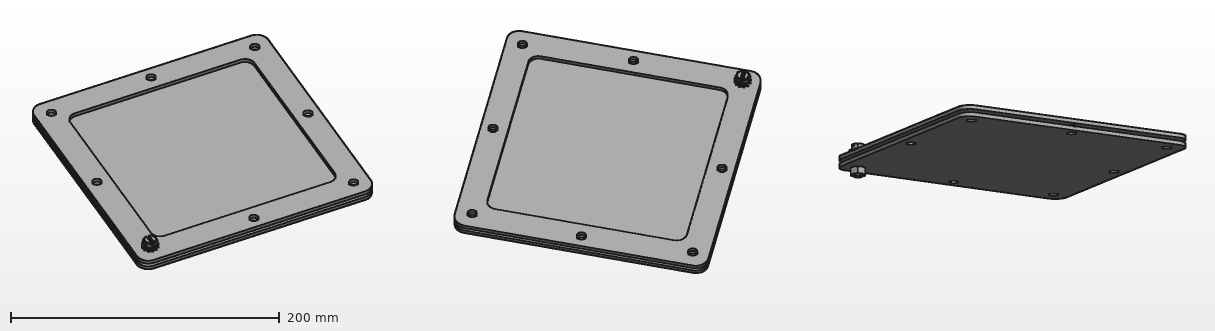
import cadquery as cq
import math

plate_side = 193.7
plate_thickness = 3.1
plate_corner_radius = 9.5
plate_gap = 2.5
window_side = 152.2
window_corner_radius = 7.7
hole_diameter = 7.2
corner_hole_spacing = 168.3
middle_hole_spacing = 174.7

shank_diameter = 6.4
screw_tail = 1.4
head_across_flats = 9.5
head_height = 4.5
slot_width = 2.3
slot_wall_depth = 1.5
slot_floor_drop = 0.8

nut_across_flats = 10.8
nut_height = 5.6

bevel_angle = 30.0
crown_share = 0.88

washer_bore = 6.5
washer_outer_diameter = 12.8
washer_ring_diameter = 9.3
washer_thickness = 0.68
tooth_count = 12
tooth_width = 2.7
tooth_twist = 55.0

overall_height = 24.6

upper_plate_level = plate_thickness + plate_gap
screw_bottom = -nut_height - screw_tail
screw_top = screw_bottom + overall_height
head_level = screw_top - head_height

twist_radians = math.radians(tooth_twist)
tooth_rise = (tooth_width * math.sin(twist_radians) + washer_thickness * math.cos(twist_radians)) / 2
washer_level = head_level - tooth_rise

corner_hole_offset = corner_hole_spacing / 2
middle_hole_offset = middle_hole_spacing / 2
fastener_spot = (corner_hole_offset, -corner_hole_offset)


def on_fastener_axis(level):
    return cq.Workplane("XY", origin=(*fastener_spot, level))


def hole_spots():
    corners = [(x, y) for x in (-corner_hole_offset, corner_hole_offset)
               for y in (-corner_hole_offset, corner_hole_offset)]
    middles = [(middle_hole_offset, 0), (-middle_hole_offset, 0),
               (0, middle_hole_offset), (0, -middle_hole_offset)]
    return corners + middles


def rounded_square(side, corner_radius, level):
    block = cq.Workplane("XY", origin=(0, 0, level)).rect(side, side).extrude(plate_thickness)
    return block.edges("|Z").fillet(corner_radius)


def make_plate(level):
    plate = rounded_square(plate_side, plate_corner_radius, level)
    holes = (cq.Workplane("XY", origin=(0, 0, level)).pushPoints(hole_spots())
             .circle(hole_diameter / 2).extrude(plate_thickness))
    return plate.cut(holes)


def make_frame():
    window = rounded_square(window_side, window_corner_radius, upper_plate_level)
    return make_plate(upper_plate_level).cut(window)


def make_hexagon(across_flats, height, level):
    """Hexagonal prism with its upper corners bevelled by a cone."""
    across_corners = across_flats / math.cos(math.pi / 6)
    corner_radius = across_corners / 2
    crown_radius = crown_share * across_flats / 2
    bevel_drop = (corner_radius - crown_radius) * math.tan(math.radians(bevel_angle))
    profile = [(0, 0), (corner_radius, 0), (corner_radius, height - bevel_drop),
               (crown_radius, height), (0, height)]
    cone = cq.Workplane("XZ").polyline(profile).close().revolve(360, (0, 0), (0, 1))
    prism = cq.Workplane("XY").polygon(6, across_corners).extrude(height)
    return prism.intersect(cone).translate((*fastener_spot, level))


def make_slot():
    """Screwdriver slot along X, with upright walls and a shallow V floor."""
    half_width = slot_width / 2
    profile = [(-half_width, 0), (half_width, 0), (half_width, -slot_wall_depth),
               (0, -slot_wall_depth - slot_floor_drop), (-half_width, -slot_wall_depth)]
    return (cq.Workplane("YZ", origin=(*fastener_spot, screw_top)).polyline(profile).close()
            .extrude(head_across_flats, both=True))


def make_screw():
    shank = on_fastener_axis(screw_bottom).circle(shank_diameter / 2).extrude(head_level - screw_bottom)
    head = make_hexagon(head_across_flats, head_height, head_level)
    return shank.union(head).cut(make_slot())


def make_nut():
    bore = on_fastener_axis(-nut_height).circle(shank_diameter / 2).extrude(nut_height)
    return make_hexagon(nut_across_flats, nut_height, -nut_height).cut(bore)


def make_washer():
    bore_radius = washer_bore / 2
    outer_radius = washer_outer_diameter / 2
    ring_radius = washer_ring_diameter / 2
    root_radius = (bore_radius + ring_radius) / 2
    washer = cq.Workplane("XY").circle(ring_radius).extrude(washer_thickness / 2, both=True)

    tooth = (cq.Workplane("XY").box(outer_radius, tooth_width, washer_thickness)
             .translate((root_radius + outer_radius / 2, 0, 0))
             .rotate((0, 0, 0), (1, 0, 0), -tooth_twist))
    pitch = 360 / tooth_count
    for index in range(tooth_count):
        washer = washer.union(tooth.rotate((0, 0, 0), (0, 0, 1), (index + 0.5) * pitch))

    envelope = (cq.Workplane("XY").circle(outer_radius).circle(bore_radius)
                .extrude(tooth_rise, both=True))
    return washer.intersect(envelope).translate((*fastener_spot, washer_level))


lower_plate = make_plate(0)
frame = make_frame()
screw = make_screw()
nut = make_nut()
washer = make_washer()

result = cq.Compound.makeCompound([
    lower_plate.val(), frame.val(), screw.val(), nut.val(), washer.val()])